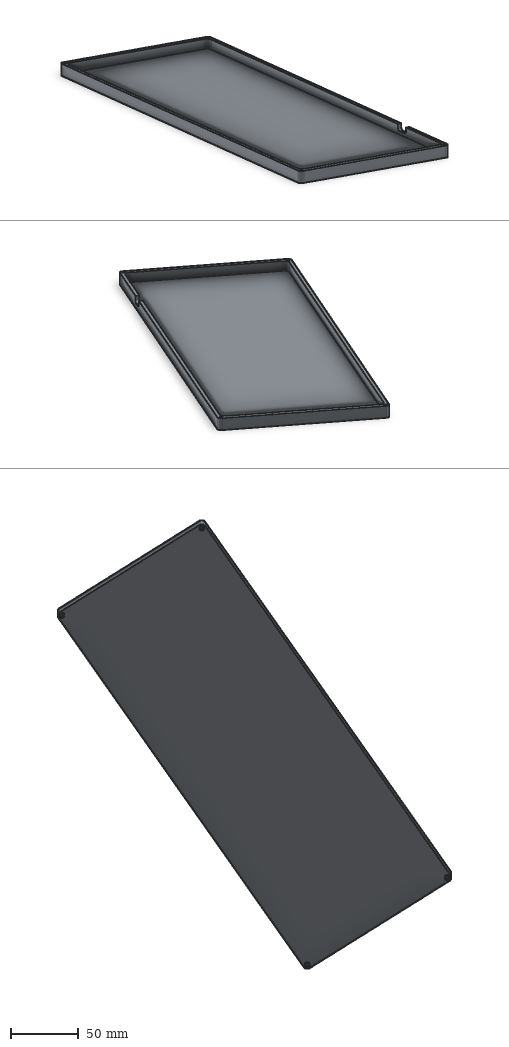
import cadquery as cq

length = 334.8
width = 130.2
height = 9.5
outer_corner_radius = 3.0

end_wall = 4.5
side_wall = 3.0
floor_thickness = 1.7
inner_corner_radius = 4.0

hole_diameter = 2.2
hole_inset = 3.0
counterbore_diameter = 4.0
counterbore_depth = 1.0

notch_center_x = 106.0
notch_width = 11.0
notch_depth = 5.0
notch_corner_radius = 2.0


def rounded_block(size_x, size_y, size_z, radius):
    """Block standing on Z = 0 with rounded vertical edges."""
    block = cq.Workplane("XY").box(size_x, size_y, size_z, centered=(True, True, False))
    return block.edges("|Z").fillet(radius)


def make_tray():
    """Open-topped tray with a flat floor."""
    outer = rounded_block(length, width, height, outer_corner_radius)
    cavity = rounded_block(
        length - 2 * end_wall, width - 2 * side_wall, height - floor_thickness, inner_corner_radius
    )
    return outer.cut(cavity.translate((0, 0, floor_thickness)))


def make_corner_cylinders(diameter, depth):
    """Four cutters rising from the underside, one in each corner."""
    return (
        cq.Workplane("XY")
        .rect(length - 2 * hole_inset, width - 2 * hole_inset, forConstruction=True)
        .vertices()
        .circle(diameter / 2)
        .extrude(depth)
    )


def make_notch():
    """Cutter for the cable notch, with rounded lower corners."""
    cutter = cq.Workplane("XY").box(notch_width, side_wall, notch_depth)
    cutter = cutter.edges("|Y and <Z").fillet(notch_corner_radius)
    return cutter.translate((notch_center_x, (width - side_wall) / 2, height - notch_depth / 2))


result = (
    make_tray()
    .cut(make_corner_cylinders(hole_diameter, height))
    .cut(make_corner_cylinders(counterbore_diameter, counterbore_depth))
    .cut(make_notch())
)